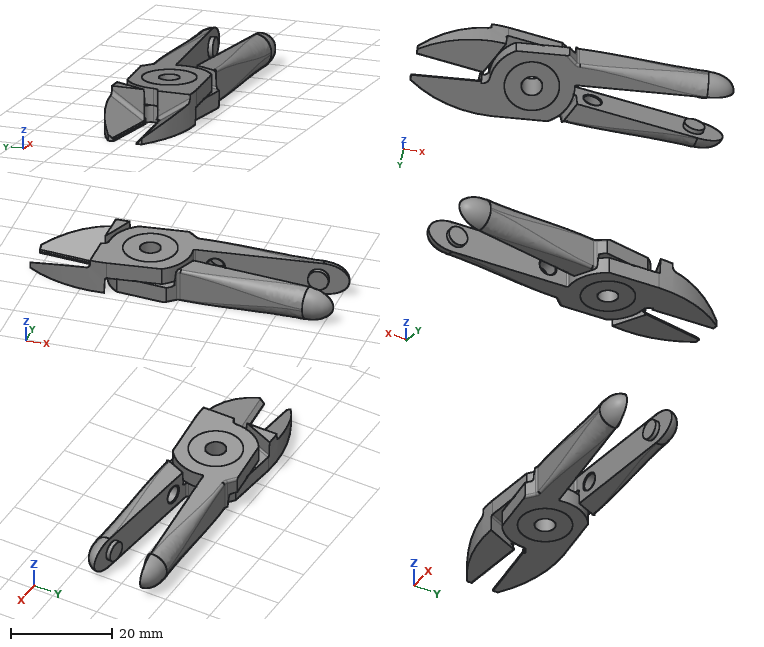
import cadquery as cq
import math


WIDTH = 16.7
THICKNESS = 7.0
MID_Z = THICKNESS / 2
OPEN_ANGLE = 5.9
OVERSIZE = 38.1
SELECT_MARGIN = 0.1

PIVOT_RADIUS = 5.45
PIVOT_HOLE_RADIUS = 2.1

HEAD_RADIUS = 8.5
HEAD_SIDE_V = 7.55
LAP_WALL_DISTANCE = 9.65
LAP_WALL_DRAFT = 3.0
LAP_WALL_ANGLE = 23.3
LAP_FILLET = 0.4
NOTCH_FILLET = 0.4

JAW_ROOT_X = -9.85
JAW_TIP_X = -23.8
JAW_HALF_WIDTH = WIDTH / 2
JAW_BULGE_X = -8.3
JAW_TIP_OUTER_Y = 3.55
JAW_HEEL_U = 7.3
JAW_NOSE_X = -10.0
THROAT_RADIUS = 1.4

BEVEL_SLOPE = 0.66
BEVEL_EDGE_HEIGHT = 0.535
BEVEL_FILLET = 0.9
EDGE_LAND = 0.16
EDGE_BEVEL_WIDTH = 0.9
NARROW_LAND = 0.35
NARROW_BEVEL_WIDTH = 0.2

SHOULDER_U = 6.75
NECK_U = 8.5
NECK_BLEND = 0.9
SHOULDER_EDGE_FILLET = 0.5

HANDLE_INNER_V = 1.1
HANDLE_START_U = 9.0
HANDLE_END_U = 34.75
HANDLE_START_V = 5.8
HANDLE_END_V = 4.6
HANDLE_START_ROUND = 0.5
HANDLE_END_ROUND = 3.3
HANDLE_SECTIONS = 5
DOME_LENGTH = 5.3

STOP_U = 33.9
STOP_RADIUS = 2.1
STOP_HEIGHT = 0.95
SPRING_HOLE_U = 12.95
SPRING_HOLE_RADIUS = 1.8
SPRING_HOLE_DEPTH = 3.5
SPRING_HOLE_CHAMFER = 0.2


def turned(shape):
    """Swing a shape built in the closed position to the open one."""
    return shape.rotate((0, 0, 0), (0, 0, 1), OPEN_ANGLE)


def turned_point(u, v):
    """X and Y of a place in the handle frame."""
    a = math.radians(OPEN_ANGLE)
    return (u * math.cos(a) - v * math.sin(a), u * math.sin(a) + v * math.cos(a))


def handle_outer_v(u):
    """V of the handle's tapering outer side."""
    taper = (HANDLE_END_V - HANDLE_START_V) / (HANDLE_END_U - HANDLE_START_U)
    return HANDLE_START_V + taper * (u - HANDLE_START_U)


def on_circle(radius, degrees):
    a = math.radians(degrees)
    return (radius * math.cos(a), radius * math.sin(a))


def jaw_edge_y(x):
    """Y of the cutting edge, which runs straight from the pivot axis."""
    return x * math.tan(math.radians(OPEN_ANGLE))


def near_points(upper_left, lower_right):
    """Selector for edges at any height whose centre lies between two plan corners."""
    return cq.selectors.BoxSelector(
        (upper_left[0] - SELECT_MARGIN, lower_right[1] - SELECT_MARGIN, -SELECT_MARGIN),
        (lower_right[0] + SELECT_MARGIN, upper_left[1] + SELECT_MARGIN, THICKNESS + SELECT_MARGIN),
    )


def head_and_jaw():
    """Full-height blank with the outline of jaw, head and shoulder."""
    side_u = math.sqrt(HEAD_RADIUS ** 2 - HEAD_SIDE_V ** 2)
    notch_u = math.sqrt(HEAD_RADIUS ** 2 - HANDLE_INNER_V ** 2)
    notch = turned_point(notch_u, HANDLE_INNER_V)
    shoulder = turned_point(SHOULDER_U, HEAD_SIDE_V)
    neck = turned_point(NECK_U, handle_outer_v(NECK_U))
    jaw_heel = turned_point(-JAW_HEEL_U, -HEAD_SIDE_V)
    throat_x = -HEAD_RADIUS
    throat_mid = (
        JAW_NOSE_X + (throat_x - JAW_NOSE_X) * math.sqrt(0.5),
        -THROAT_RADIUS * math.sqrt(0.5),
    )
    side_degrees = math.degrees(math.asin(HEAD_SIDE_V / HEAD_RADIUS)) - OPEN_ANGLE
    left_mid = on_circle(HEAD_RADIUS, 180 - side_degrees / 2)
    right_mid = on_circle(HEAD_RADIUS, -side_degrees / 2)

    blank = (
        cq.Workplane("XY")
        .moveTo(JAW_TIP_X, jaw_edge_y(JAW_TIP_X))
        .lineTo(JAW_NOSE_X, jaw_edge_y(JAW_NOSE_X))
        .lineTo(JAW_NOSE_X, -THROAT_RADIUS)
        .threePointArc(throat_mid, (throat_x, 0))
        .threePointArc(left_mid, turned_point(-side_u, HEAD_SIDE_V))
        .lineTo(*shoulder)
        .lineTo(*neck)
        .lineTo(*turned_point(HANDLE_START_U, HANDLE_START_V))
        .lineTo(*turned_point(HANDLE_START_U, HANDLE_INNER_V))
        .lineTo(*notch)
        .threePointArc(right_mid, turned_point(side_u, -HEAD_SIDE_V))
        .lineTo(*jaw_heel)
        .threePointArc((JAW_BULGE_X, -JAW_HALF_WIDTH), (JAW_TIP_X, -JAW_TIP_OUTER_Y))
        .close()
        .extrude(THICKNESS)
    )
    blank = blank.edges(near_points(notch, notch)).fillet(NOTCH_FILLET)
    blank = blank.edges(near_points(neck, neck)).fillet(NECK_BLEND)
    return blank


def shoulder_edges_rounded(blank):
    """Round the top and bottom edges along the shoulder and neck."""
    neck = turned_point(NECK_U, handle_outer_v(NECK_U))
    shoulder = turned_point(SHOULDER_U, HEAD_SIDE_V)
    middle = ((shoulder[0] + neck[0]) / 2, (shoulder[1] + neck[1]) / 2)
    edges = blank.edges(near_points(middle, neck)).edges("not |Z")
    return edges.fillet(SHOULDER_EDGE_FILLET)


def handle_section(u, outer_v, corner):
    """D-shaped wire at station u: square at the inner face, rounded outside."""
    return (
        cq.Workplane("YZ", origin=(u, 0, 0))
        .moveTo(HANDLE_INNER_V, 0)
        .lineTo(outer_v - corner, 0)
        .radiusArc((outer_v, corner), -corner)
        .lineTo(outer_v, THICKNESS - corner)
        .radiusArc((outer_v - corner, THICKNESS), -corner)
        .lineTo(HANDLE_INNER_V, THICKNESS)
        .close()
        .val()
    )


def handle():
    """Tapering grip whose outer corners grow smoothly into a half round."""
    sections = []
    for i in range(HANDLE_SECTIONS):
        t = i / (HANDLE_SECTIONS - 1)
        ease = t * t * (3 - 2 * t)
        u = HANDLE_START_U + t * (HANDLE_END_U - HANDLE_START_U)
        corner = HANDLE_START_ROUND + ease * (HANDLE_END_ROUND - HANDLE_START_ROUND)
        sections.append(handle_section(u, handle_outer_v(u), corner))
    return cq.Workplane(cq.Solid.makeLoft(sections))


def handle_dome():
    """Half of an egg-shaped end cap, flat on the inner face."""
    height = HANDLE_END_V - HANDLE_INNER_V
    return (
        cq.Workplane("XZ", origin=(HANDLE_END_U, HANDLE_INNER_V, MID_Z))
        .lineTo(DOME_LENGTH, 0)
        .ellipseArc(DOME_LENGTH, height, 0, 90, startAtCurrent=True)
        .close()
        .revolve(180, (0, 0, 0), (-1, 0, 0))
    )


def stop_button():
    """Round pad on the handle's inner face that faces its twin on the other half."""
    return (
        cq.Workplane("XZ", origin=(STOP_U, HANDLE_INNER_V, MID_Z))
        .circle(STOP_RADIUS)
        .extrude(STOP_HEIGHT)
    )


def spring_hole():
    """Blind hole into the handle's inner face, chamfered at the mouth."""
    mouth_radius = SPRING_HOLE_RADIUS + SPRING_HOLE_CHAMFER
    face = cq.Workplane("XZ", origin=(SPRING_HOLE_U, HANDLE_INNER_V, MID_Z))
    bore = face.circle(SPRING_HOLE_RADIUS).extrude(-SPRING_HOLE_DEPTH)
    mouth = cq.Workplane(
        cq.Solid.makeCone(
            mouth_radius,
            SPRING_HOLE_RADIUS,
            SPRING_HOLE_CHAMFER,
            pnt=cq.Vector(SPRING_HOLE_U, HANDLE_INNER_V, MID_Z),
            dir=cq.Vector(0, 1, 0),
        )
    )
    return bore.union(mouth)


def jaw_prism(profile):
    """Extrude a (distance from the cutting edge, z) profile along the jaw."""
    points = [(-distance, z) for distance, z in profile]
    prism = cq.Workplane("YZ").polyline(points).close().extrude(-OVERSIZE)
    beyond_root = (
        cq.Workplane("XY")
        .box(OVERSIZE, OVERSIZE, OVERSIZE)
        .translate((JAW_ROOT_X - OVERSIZE / 2, 0, 0))
    )
    return turned(prism).intersect(beyond_root)


def bevel_height(distance):
    """Z of the main bevel at a distance from the cutting edge."""
    return BEVEL_EDGE_HEIGHT + BEVEL_SLOPE * distance


def bevel_cutter():
    """Space above the sloping top of the jaw, rounded where it meets the root wall."""
    near = -JAW_HALF_WIDTH / 2
    far = 2 * JAW_HALF_WIDTH
    cutter = jaw_prism([
        (near, bevel_height(near)),
        (far, bevel_height(far)),
        (near, bevel_height(far)),
    ])
    return cutter.faces(">X").edges("<Z").fillet(BEVEL_FILLET)


def edge_cutter(land, width):
    """Space above the steep bevel between the blunt edge and the main bevel."""
    rise = bevel_height(width) - land
    return jaw_prism([
        (-width, land - rise),
        (width, land + rise),
        (-width, land + rise),
    ])


def lap_recess():
    """Slanted slot across the lower half of the head for the other half's plate."""
    return (
        cq.Workplane("XY")
        .rect(2 * LAP_WALL_DISTANCE, OVERSIZE)
        .extrude(MID_Z, taper=LAP_WALL_DRAFT)
        .faces(">Z")
        .edges("|Y")
        .fillet(LAP_FILLET)
        .rotate((0, 0, 0), (0, 0, 1), LAP_WALL_ANGLE)
    )


def half(land, bevel_width):
    """One half of the cutters with its lap recess still to be cut."""
    body = shoulder_edges_rounded(head_and_jaw())
    body = body.cut(bevel_cutter())
    body = body.cut(edge_cutter(land, bevel_width))
    body = body.union(turned(handle()))
    body = body.union(turned(handle_dome()))
    body = body.union(turned(stop_button()))
    body = body.cut(turned(spring_hole()))
    bore = cq.Workplane("XY").circle(PIVOT_RADIUS).extrude(THICKNESS)
    return body.cut(bore)


def upper_half():
    """Half whose head plate lies on top."""
    return half(EDGE_LAND, EDGE_BEVEL_WIDTH).cut(lap_recess())


def lower_half():
    """Mirror-image half whose head plate lies underneath."""
    recess = lap_recess().mirror("XY", (0, 0, MID_Z))
    return half(NARROW_LAND, NARROW_BEVEL_WIDTH).cut(recess).mirror("XZ")


def pivot_ring():
    """Hollow rivet, flush with both faces of the head."""
    return (
        cq.Workplane("XY")
        .circle(PIVOT_RADIUS)
        .circle(PIVOT_HOLE_RADIUS)
        .extrude(THICKNESS)
    )


upper = upper_half()
lower = lower_half()
ring = pivot_ring()
result = cq.Compound.makeCompound([
    upper.solids().val(),
    lower.solids().val(),
    ring.val(),
])